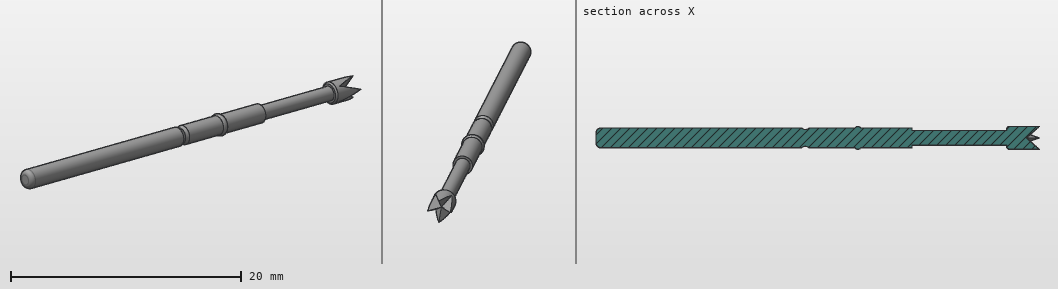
import cadquery as cq
import math

length = 38.4

crown_radius = 1.0
rod_radius = 0.65
barrel_radius = 1.73 / 2
collar_radius = 1.0
groove_radius = 0.73

crown_length = 2.85
crown_chamfer = 0.15
rod_end = 11.02
collar_start = 15.48
collar_width = 0.5
groove_start = 19.93
groove_width = 0.7
tail_rounding = 0.42

tooth_count = 4
center_depth = 1.1
valley_depth = 2.23


def cylinder(radius, start, end):
    """Cylinder on the Y axis between two distances from the crown tips."""
    return cq.Workplane("XZ", origin=(0, length / 2 - start, 0)).circle(radius).extrude(end - start)


def make_valley(direction):
    """V channel running outward and downward from the crown center, in the given direction (degrees)."""
    half_angle = math.radians(180 / tooth_count)
    tip_along = crown_radius * math.cos(half_angle)
    tip_across = crown_radius * math.sin(half_angle)
    floor_slope = (valley_depth - center_depth) / crown_radius
    flank_slope = (center_depth + floor_slope * tip_along) / tip_across
    clearance = 0.4
    reach = 2 * crown_radius

    def section(along):
        floor = center_depth + floor_slope * along
        half_width = (floor + clearance) / flank_slope
        top_y = length / 2 + clearance
        return cq.Wire.makePolygon(
            [
                cq.Vector(-half_width, top_y, along),
                cq.Vector(half_width, top_y, along),
                cq.Vector(0, length / 2 - floor, along),
            ],
            close=True,
        )

    channel = cq.Solid.makeLoft([section(0), section(reach)], True)
    return cq.Workplane(channel).rotate((0, 0, 0), (0, 1, 0), direction)


def make_plunger():
    """Rod with the toothed crown at its front end."""
    crown = cylinder(crown_radius, 0, crown_length).faces("<Y").chamfer(crown_chamfer)
    crown = crown.union(cylinder(rod_radius, crown_length, rod_end))
    pitch = 360 / tooth_count
    for index in range(tooth_count):
        crown = crown.cut(make_valley((index + 0.5) * pitch))
    return crown


def make_collar():
    """Ring around the barrel whose outside bulges in a single arc."""
    front_y = length / 2 - collar_start
    back_y = front_y - collar_width
    profile = (
        cq.Workplane("XY")
        .moveTo(0, back_y)
        .lineTo(0, front_y)
        .lineTo(barrel_radius, front_y)
        .threePointArc((collar_radius, (front_y + back_y) / 2), (barrel_radius, back_y))
        .close()
    )
    return profile.revolve(360, (0, 0, 0), (0, 1, 0))


def make_groove():
    """Ring with a V section that cuts the groove around the barrel."""
    start_y = length / 2 - groove_start
    profile = (
        cq.Workplane("XY")
        .moveTo(barrel_radius, start_y)
        .lineTo(groove_radius, start_y - groove_width / 2)
        .lineTo(barrel_radius, start_y - groove_width)
        .close()
    )
    return profile.revolve(360, (0, 0, 0), (0, 1, 0))


def make_barrel():
    barrel = cylinder(barrel_radius, rod_end, length).faces("<Y").edges().fillet(tail_rounding)
    return barrel.cut(make_groove()).union(make_collar())


result = make_plunger().union(make_barrel())